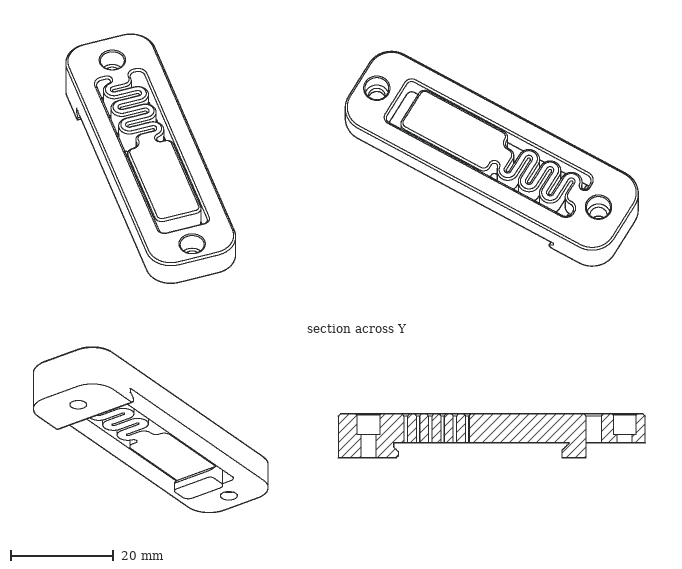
import cadquery as cq
import math

length = 59.9
width = 18.0
height = 8.6
plate_thickness = 5.7
corner_radius = 5.0
edge_chamfer = 0.4
plate_bottom = height - plate_thickness

hook_root_x = -19.1
hook_tip_x = -18.15
hook_neck_z = 2.1
hook_tip_top_z = hook_neck_z - (hook_tip_x - hook_root_x)
hook_tip_chamfer = 0.5

ramp_left = -19.9
ramp_drop = 0.5

left_hole_x = -24.1
right_hole_x = 25.95
hole_diameter = 3.3
counterbore_diameter = 4.7
counterbore_depth = 4.0
counterbore_chamfer = 0.25

window_right = 21.4
window_half_width = 4.9
window_left_corner_radius = 1.4
window_right_corner_radius = 1.1

bend_count = 6
bend_pitch = 2.4
first_bend_x = -16.8
bend_center_y = 2.05
spring_width = 1.8
inner_bend_radius = (bend_pitch - spring_width) / 2
outer_bend_radius = (bend_pitch + spring_width) / 2
last_bend_x = first_bend_x + bend_pitch * (bend_count - 1)
spring_middle_x = (first_bend_x + last_bend_x) / 2

root_half_width = 2.05
root_corner_radius = 1.6
root_fillet_radius = 1.2
notch_radius = 0.65

pad_left = -1.45
pad_right = 18.4
pad_half_width = 4.7
pad_corner_radius = 1.4
window_left = 2 * spring_middle_x - pad_left

foot_left = 13.65
foot_left_radius = 0.9
foot_slope_start_z = 1.45


def arc_middle(center, radius, start_angle, end_angle):
    """Point halfway along an arc, angles in degrees."""
    angle = math.radians((start_angle + end_angle) / 2)
    return (center[0] + radius * math.cos(angle), center[1] + radius * math.sin(angle))


def spring_side(sketch, turn):
    """Draw one long side of the spring; turn = -1 gives the same side rotated half a turn."""

    def place(point):
        return (spring_middle_x + turn * (point[0] - spring_middle_x), turn * point[1])

    def line(end):
        return sketch.lineTo(*place(end))

    def arc(middle, end):
        return sketch.threePointArc(place(middle), place(end))

    fillet_center = (window_left + root_fillet_radius, root_half_width + root_fillet_radius)
    sketch = line((window_left, fillet_center[1]))
    sketch = arc(
        arc_middle(fillet_center, root_fillet_radius, 180, 270),
        (fillet_center[0], root_half_width),
    )
    wall_x = first_bend_x - inner_bend_radius
    corner_center = (wall_x - root_corner_radius, root_half_width - root_corner_radius)
    sketch = line((corner_center[0], root_half_width))
    sketch = arc(arc_middle(corner_center, root_corner_radius, 90, 0), (wall_x, corner_center[1]))

    for index in range(bend_count - 1):
        bend_x = first_bend_x + index * bend_pitch
        high = index % 2 == 1
        side = 1 if high else -1
        radius = outer_bend_radius if high else inner_bend_radius
        bend_y = side * bend_center_y
        sketch = line((bend_x - radius, bend_y))
        sketch = arc((bend_x, bend_y + side * radius), (bend_x + radius, bend_y))

    notch_x = pad_left - notch_radius
    notch_reach = outer_bend_radius + notch_radius
    notch_angle = math.degrees(math.acos((notch_x - last_bend_x) / notch_reach))
    notch_rise = notch_reach * math.sin(math.radians(notch_angle))
    bend_center = (last_bend_x, bend_center_y)
    notch_center = (notch_x, bend_center_y + notch_rise)
    tangent_point = arc_middle(bend_center, outer_bend_radius, notch_angle, notch_angle)
    sketch = line((last_bend_x - outer_bend_radius, bend_center_y))
    sketch = arc(arc_middle(bend_center, outer_bend_radius, 180, notch_angle), tangent_point)
    return arc(
        arc_middle(notch_center, notch_radius, 180 + notch_angle, 360),
        (pad_left, notch_center[1]),
    )


def rounded_corner(sketch, corner, inward, radius, enter_along_x):
    """Go round a rectangle corner; inward gives the X and Y signs towards the rectangle's middle."""
    center = (corner[0] + inward[0] * radius, corner[1] + inward[1] * radius)
    on_x_side = (center[0], corner[1])
    on_y_side = (corner[0], center[1])
    start, end = (on_x_side, on_y_side) if enter_along_x else (on_y_side, on_x_side)
    reach = radius * math.sqrt(0.5)
    middle = (center[0] - inward[0] * reach, center[1] - inward[1] * reach)
    return sketch.lineTo(*start).threePointArc(middle, end)


def make_opening(bottom):
    """Space between the frame and the spring with its pad, from the bottom height to the top."""
    sketch = cq.Workplane("XY").workplane(offset=bottom)
    sketch = sketch.moveTo(window_left, window_half_width - window_left_corner_radius)
    sketch = spring_side(sketch, 1)
    pad_corners = [
        ((pad_left, pad_half_width), (1, -1), False),
        ((pad_right, pad_half_width), (-1, -1), True),
        ((pad_right, -pad_half_width), (-1, 1), False),
        ((pad_left, -pad_half_width), (1, 1), True),
    ]
    for corner, inward, enter_along_x in pad_corners:
        sketch = rounded_corner(sketch, corner, inward, pad_corner_radius, enter_along_x)
    sketch = spring_side(sketch, -1)
    window_corners = [
        ((window_left, -window_half_width), (1, 1), window_left_corner_radius, False),
        ((window_right, -window_half_width), (-1, 1), window_right_corner_radius, True),
        ((window_right, window_half_width), (-1, -1), window_right_corner_radius, False),
        ((window_left, window_half_width), (1, -1), window_left_corner_radius, True),
    ]
    for corner, inward, radius, enter_along_x in window_corners:
        sketch = rounded_corner(sketch, corner, inward, radius, enter_along_x)
    return sketch.close().extrude(height - bottom)


def make_frame():
    """Rounded bar whose underside is cut back to leave the hook at the left end."""
    side_profile = (
        cq.Workplane("XZ")
        .moveTo(-length / 2, height)
        .lineTo(-length / 2, 0)
        .lineTo(hook_tip_x - hook_tip_chamfer, 0)
        .lineTo(hook_tip_x, hook_tip_chamfer)
        .lineTo(hook_tip_x, hook_tip_top_z)
        .lineTo(hook_root_x, hook_neck_z)
        .lineTo(hook_root_x, plate_bottom)
        .lineTo(length / 2, plate_bottom)
        .lineTo(length / 2, height)
        .close()
        .extrude(width / 2, both=True)
    )
    return side_profile.edges("|Z and (<X or >X)").fillet(corner_radius)


def make_floor_ramp():
    """Shallow slope cut into the top of the hook where the window leaves it open."""
    wedge = (
        cq.Workplane("XZ")
        .moveTo(ramp_left, plate_bottom)
        .lineTo(hook_root_x, plate_bottom)
        .lineTo(hook_root_x, plate_bottom - ramp_drop)
        .close()
        .extrude(window_half_width, both=True)
    )
    return wedge.intersect(make_opening(0))


def make_foot():
    """Latch foot with rounded corners and a sloped left face."""
    foot = (
        cq.Workplane("XZ")
        .moveTo(foot_left, 0)
        .lineTo(foot_left, foot_slope_start_z)
        .lineTo(foot_left + plate_bottom - foot_slope_start_z, plate_bottom)
        .lineTo(pad_right, plate_bottom)
        .lineTo(pad_right, 0)
        .close()
        .extrude(pad_half_width, both=True)
    )
    footprint = (
        cq.Workplane("XY")
        .moveTo((foot_left + pad_right) / 2, 0)
        .rect(pad_right - foot_left, 2 * pad_half_width)
        .extrude(plate_bottom)
        .edges("|Z and <X")
        .fillet(foot_left_radius)
        .edges("|Z and >X")
        .fillet(pad_corner_radius)
    )
    return foot.intersect(footprint)


def make_screw_hole(x):
    """Counterbored through hole with a chamfered mouth."""
    mouth_radius = counterbore_diameter / 2 + counterbore_chamfer
    return (
        cq.Workplane("XZ")
        .lineTo(hole_diameter / 2, 0)
        .lineTo(hole_diameter / 2, height - counterbore_depth)
        .lineTo(counterbore_diameter / 2, height - counterbore_depth)
        .lineTo(counterbore_diameter / 2, height - counterbore_chamfer)
        .lineTo(mouth_radius, height)
        .lineTo(0, height)
        .close()
        .revolve(360, (0, 0, 0), (0, 1, 0))
        .translate((x, 0, 0))
    )


result = make_frame().cut(make_opening(plate_bottom))
result = result.faces(">Z").edges().chamfer(edge_chamfer)
result = result.cut(make_floor_ramp()).union(make_foot())
for hole_x in (left_hole_x, right_hole_x):
    result = result.cut(make_screw_hole(hole_x))